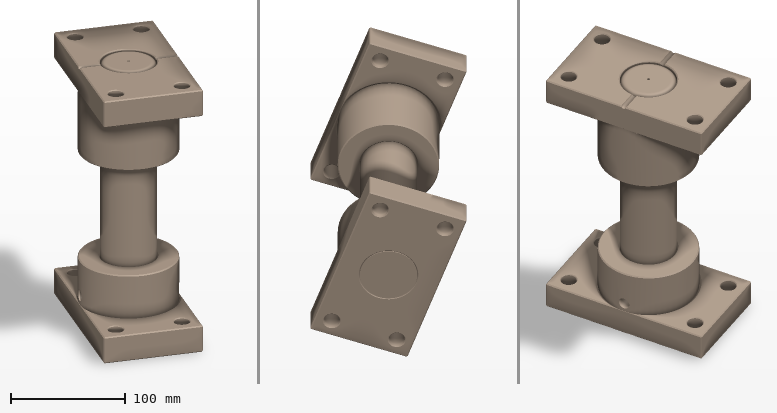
import cadquery as cq

total_height = 250.0
plate_length = 155.0
plate_width = 90.0
plate_thickness = 25.0
plate_chamfer = 1.0

collar_diameter = 88.5
upper_collar_height = 60.0
lower_collar_height = 40.0
collar_chamfer = 1.0

relief_width = 2.0
relief_depth = 1.5

bolt_hole_diameter = 14.0
bolt_hole_chamfer = 0.8
bolt_spacing_x = 125.5
bolt_spacing_y = 60.0

pillar_diameter = 50.0
pillar_end_fillet = 5.5
center_hole_diameter = 2.5
center_hole_depth = 2.5
bore_chamfer = 1.0

groove_width = 5.0
groove_depth = 2.0
cross_hole_diameter = 10.5
cross_hole_offset = 7.0

collar_radius = collar_diameter / 2
pillar_radius = pillar_diameter / 2


def bolt_cutters():
    """Four through holes with a chamfer at both plate faces."""
    radius = bolt_hole_diameter / 2
    mouth = radius + bolt_hole_chamfer
    profile = [
        (0, 0),
        (mouth, 0),
        (radius, bolt_hole_chamfer),
        (radius, plate_thickness - bolt_hole_chamfer),
        (mouth, plate_thickness),
        (0, plate_thickness),
    ]
    cutter = cq.Workplane("XZ").polyline(profile).close().revolve(360, (0, 0), (0, 1)).val()
    spots = cq.Workplane("XY").rarray(bolt_spacing_x, bolt_spacing_y, 2, 2)
    return spots.eachpoint(lambda place: cutter.moved(place))


def flange(collar_height):
    """Plate on Z = 0 with a collar on its upper face and a chamfered bore through both."""
    height = plate_thickness + collar_height
    plate = cq.Workplane("XY").box(plate_length, plate_width, plate_thickness, centered=(True, True, False))
    plate = plate.edges().chamfer(plate_chamfer).cut(bolt_cutters())

    relief_profile = [
        (collar_radius, plate_thickness),
        (collar_radius + relief_width, plate_thickness),
        (collar_radius, plate_thickness - relief_depth),
    ]
    relief = cq.Workplane("XZ").polyline(relief_profile).close().revolve(360, (0, 0), (0, 1))

    collar = cq.Workplane("XY").circle(collar_radius).extrude(height).faces(">Z").edges().chamfer(collar_chamfer)
    bore_mouth = pillar_radius + bore_chamfer
    bore_profile = [
        (0, 0),
        (bore_mouth, 0),
        (pillar_radius, bore_chamfer),
        (pillar_radius, height - bore_chamfer),
        (bore_mouth, height),
        (0, height),
    ]
    bore = cq.Workplane("XZ").polyline(bore_profile).close().revolve(360, (0, 0), (0, 1))
    return plate.cut(relief).union(collar).cut(bore)


def make_lower_flange():
    """Flange with a cross hole from its -Y side into the bore."""
    cross_hole = (
        cq.Workplane("XZ", origin=(0, 0, plate_thickness + cross_hole_offset))
        .circle(cross_hole_diameter / 2)
        .extrude(plate_width)
    )
    return flange(lower_collar_height).cut(cross_hole)


def make_upper_flange():
    """Flange turned over, with a round-bottomed grease groove along Y in its top face."""
    turned = flange(upper_collar_height).rotate((0, 0, 0), (1, 0, 0), 180).translate((0, 0, total_height))
    half_width = groove_width / 2
    groove = (
        cq.Workplane("XZ", origin=(0, 0, total_height))
        .moveTo(-half_width, 0)
        .threePointArc((0, -groove_depth), (half_width, 0))
        .close()
        .extrude(plate_width / 2, both=True)
    )
    return turned.cut(groove)


def make_pillar():
    """Full-height pillar with a rounded top end and a small center hole."""
    pillar = cq.Workplane("XY").circle(pillar_radius).extrude(total_height)
    pillar = pillar.faces(">Z").edges().fillet(pillar_end_fillet)
    return pillar.faces(">Z").workplane().hole(center_hole_diameter, center_hole_depth)


lower_flange = make_lower_flange()
upper_flange = make_upper_flange()
pillar = make_pillar()

result = cq.Compound.makeCompound([lower_flange.val(), upper_flange.val(), pillar.val()])